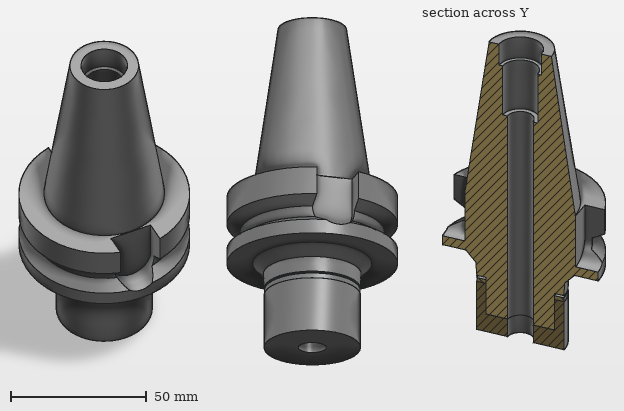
import cadquery as cq

total_height = 125.4
flange_top = 59.2
gauge_line = 60.0
upper_rim_bottom = 48.7
groove_top = 45.6
groove_bottom = 41.4
lower_rim_top = 38.5
flange_bottom = 33.1
collar_top = 29.0
collar_bottom = 23.3
ring_top = 22.6
nut_top = 20.7
neck_bottom = 7.5

flange_radius = 31.5
groove_radius = 26.6
gauge_radius = 22.2
taper_top_radius = 12.7
shoulder_radius = 22.0
collar_top_radius = 18.0
collar_bottom_radius = 17.7
neck_radius = 13.9

pilot_radius = 8.5
pilot_depth = 9.0
thread_bore_radius = 7.0
thread_bore_depth = 30.1
through_bore_radius = 5.1

slot_width = 16.2
slot_floor_distance = 22.5
slot_bottom = 37.1

ring_radius = 17.7
nut_overhang = 0.06
nut_radius = ring_radius + nut_overhang


def cylinder(radius, bottom, top):
    """Solid cylinder on the Z axis between two heights."""
    return cq.Workplane("XY").workplane(offset=bottom).circle(radius).extrude(top - bottom)


def holder_blank():
    """Turned outside of the tool holder, without bores or slots."""
    profile = [
        (0, neck_bottom),
        (neck_radius, neck_bottom),
        (neck_radius, collar_bottom),
        (collar_bottom_radius, collar_bottom),
        (collar_top_radius, collar_top),
        (shoulder_radius, flange_bottom),
        (flange_radius, flange_bottom),
        (flange_radius, lower_rim_top),
        (groove_radius, groove_bottom),
        (groove_radius, groove_top),
        (flange_radius, upper_rim_bottom),
        (flange_radius, flange_top),
        (gauge_radius, flange_top),
        (gauge_radius, gauge_line),
        (taper_top_radius, total_height),
        (0, total_height),
    ]
    return cq.Workplane("XZ").polyline(profile).close().revolve(360, (0, 0, 0), (0, 1, 0))


def holder_bore():
    """Pilot bore, threaded bore and through bore as one stepped cutter."""
    through = cylinder(through_bore_radius, neck_bottom, total_height)
    thread = cylinder(thread_bore_radius, total_height - thread_bore_depth, total_height)
    pilot = cylinder(pilot_radius, total_height - pilot_depth, total_height)
    return through.union(thread).union(pilot)


def drive_slot(side):
    """Cutter for one slot, open at the flange top; side is -1 or +1 along X."""
    half_width = slot_width / 2
    arc_center = slot_bottom + half_width
    return (
        cq.Workplane("YZ")
        .workplane(offset=side * slot_floor_distance)
        .moveTo(-half_width, flange_top)
        .lineTo(-half_width, arc_center)
        .threePointArc((0, slot_bottom), (half_width, arc_center))
        .lineTo(half_width, flange_top)
        .close()
        .extrude(side * (flange_radius - slot_floor_distance))
    )


def make_holder():
    """Tool holder with taper, grooved flange, collar and neck."""
    body = holder_blank().cut(holder_bore())
    for side in (-1, 1):
        body = body.cut(drive_slot(side))
    return body


def make_ring():
    """Spacer ring around the neck, resting on the nut."""
    return cylinder(ring_radius, nut_top, ring_top).cut(cylinder(neck_radius, nut_top, ring_top))


def make_nut():
    """Cap nut with a socket for the neck and a hole through its floor."""
    socket = cylinder(neck_radius, neck_bottom, nut_top)
    floor_hole = cylinder(through_bore_radius, 0, neck_bottom)
    return cylinder(nut_radius, 0, nut_top).cut(socket).cut(floor_hole)


holder = make_holder()
ring = make_ring()
nut = make_nut()

result = cq.Compound.makeCompound([holder.val(), ring.val(), nut.val()])